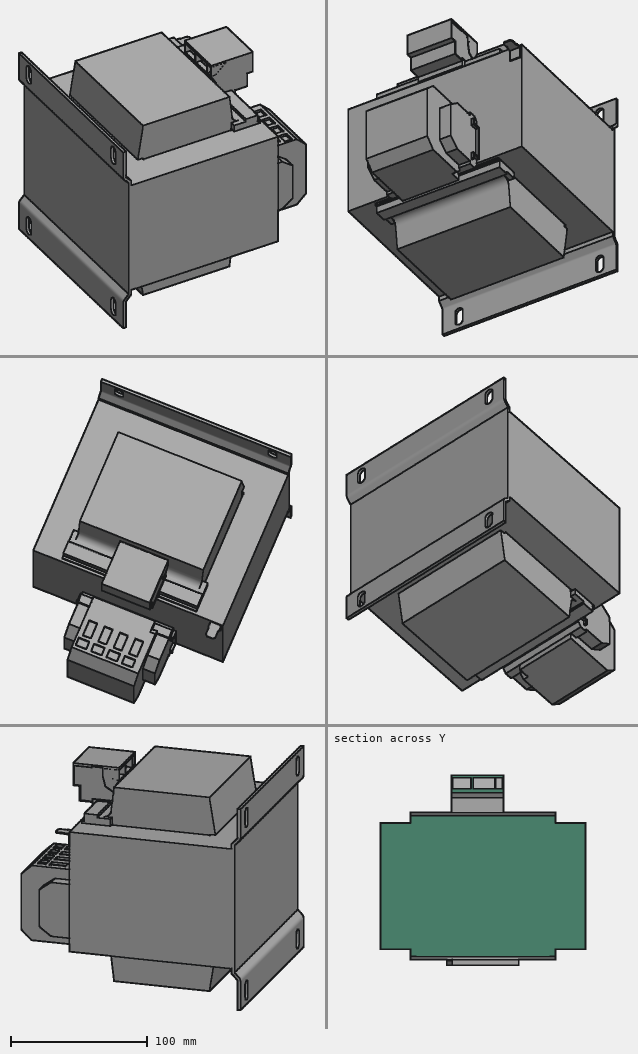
import cadquery as cq
import math


width = 150.0
depth = 184.0
height = 158.6

plate_height = 155.1
plate_thick = 2.4
plate_offset = 4.6
flange_height = 24.0
bend_radius = 4.5
slot_length = 14.7
slot_width = 6.6
slot_x = 60.7
slot_inset = 10.9
mid_z = plate_height / 2

core_front = plate_offset + plate_thick
core_back = 131.4
core_height = 92.4
core_top = mid_z + core_height / 2
window_width = 100.5
window_front = 31.8
window_back = 106.7

coil_width = 97.5
coil_height = 149.5
coil_half = coil_height / 2
coil_front_top = 32.2
coil_lip = 1.5
coil_front_base = 27.8
coil_back_top = 105.6
coil_back_slope_end = 107.8
coil_slope_drop = 18.4
coil_back_base = 113.0
shoulder_half = 51.5

rail_width = 106.0
rail_front = 107.0
rail_step = 117.0
rail_back = 127.1
rail_half = 53.7
ledge_back = 129.0
ledge_thick = 1.7

screw_left = -23.0
screw_split = -8.0
screw_right = 15.0
screw_front = 110.0
screw_back = 145.4
screw_base = 131.0
screw_heel_z = 129.9
screw_step_z = 141.3
screw_lower_back = 140.5
screw_lower_front = 114.0
chin_top = 148.7
chin_bottom = 142.0
clip_front = 127.1
clip_back = 130.5
clip_base = 125.7
screw_wall = 1.0
screw_roof = 2.0
entry_back = 122.7
entry_divider = 9.0

panel_recess = 0.4
panel_back_border = 0.7
panel_lower_back_border = 1.1
panel_bottom_border = 0.5
panel_front_border = 1.5
panel_top_step = 0.7
panel_top_step_y = 131.0
panel_corner_z = 139.1
panel_knee = (120.7, 143.2)
panel_curve_top = 151.2

strip_z = 48.5
strip_left = -26.5
end_plate_thick = 4.0
block_width = 12.1
block_count = 4
block_half = 28.9
block_left = strip_left + end_plate_thick
strip_right = block_left + block_count * block_width
bracket_width = 9.5
foot_half = 19.7
foot_top_y = 134.3
foot_top_half = 23.4
block_nose_y = 175.9
block_nose_half = 21.5
notch_floor_y = 139.7
notch_slope_half = 25.4
notch_top_y = 143.3
bracket_half = 20.8
bracket_step_y = 140.5
bracket_nose_y = 158.0
bracket_nose_half = 14.2
bracket_back = 167.0
entry_slot_width = 8.3
entry_slot_front = 167.0
entry_slot_back = 173.1
screw_slot_width = 6.3
screw_slot_front = 152.0
screw_slot_back = 164.3
opening_depth = 1.8
opening_inset = 1.8

hat_left = -38.0
hat_right = 37.5
hat_half = 17.8
hat_web_half = 14.2
hat_thick = 1.5
hat_depth = 8.0

tab_x = -69.4
tab_width = 8.5
tab_neck_width = 7.4
tab_end = 142.8
tab_z = 121.6
tab_thick = 1.0
tab_leg_height = 9.2
tab_shoulder = 4.5
tab_chamfer = 1.3


def box(x0, x1, y0, y1, z0, z1):
    """Box between two opposite corners."""
    return cq.Workplane("XY").box(x1 - x0, y1 - y0, z1 - z0, centered=False).translate((x0, y0, z0))


def extrude_along_x(points, x0, x1):
    """Closed (Y, Z) outline extruded from x0 to x1."""
    return cq.Workplane("YZ").workplane(offset=x0).polyline(points).close().extrude(x1 - x0)


def symmetric_profile(half_points, center_z, x0, x1):
    """Extrude a (Y, half height) outline mirrored about center_z."""
    upper = [(y, center_z + h) for y, h in half_points]
    lower = [(y, center_z - h) for y, h in reversed(half_points)]
    return extrude_along_x(upper + lower, x0, x1)


def make_plate():
    bend_half = mid_z - flange_height
    shift = plate_thick * math.tan(math.pi / 8)
    half = [
        (plate_offset, bend_half - plate_offset),
        (0, bend_half),
        (0, mid_z),
        (plate_thick, mid_z),
        (plate_thick, bend_half + shift),
        (core_front, bend_half - plate_offset + shift),
    ]
    plate = symmetric_profile(half, mid_z, -width / 2, width / 2)

    for y, edge_half, radius in (
        (0, bend_half, bend_radius),
        (plate_thick, bend_half + shift, bend_radius - plate_thick),
    ):
        for z in (mid_z - edge_half, mid_z + edge_half):
            bend = cq.selectors.NearestToPointSelector((0, y, z))
            plate = plate.edges("|X").edges(bend).fillet(radius)

    slots = (
        cq.Workplane("XZ")
        .pushPoints([(x, z) for x in (-slot_x, slot_x) for z in (slot_inset, plate_height - slot_inset)])
        .slot2D(slot_length, slot_width, 90)
        .extrude(-core_front)
    )
    return plate.cut(slots)


def make_core():
    core_bottom = core_top - core_height
    core = box(-width / 2, width / 2, core_front, core_back, core_bottom, core_top)
    window = box(-window_width / 2, window_width / 2, window_front, window_back, core_bottom, core_top)
    return core.cut(window)


def make_coil():
    top = mid_z + coil_half
    upper = (
        cq.Workplane("YZ")
        .workplane(offset=-coil_width / 2)
        .moveTo(coil_front_base, mid_z)
        .lineTo(coil_front_base, core_top)
        .lineTo(coil_front_top, top - coil_lip)
        .lineTo(coil_front_top, top)
        .lineTo(coil_back_top, top)
        .lineTo(coil_back_slope_end, top - coil_slope_drop)
        .tangentArcPoint((coil_back_base, mid_z + shoulder_half), relative=False)
        .lineTo(coil_back_base, mid_z)
        .close()
        .extrude(coil_width)
    )
    return upper.union(upper.mirror("XY", (0, 0, mid_z)))


def make_former_rails():
    core_half = core_height / 2
    half = [
        (rail_front, shoulder_half),
        (rail_step, shoulder_half),
        (rail_step, rail_half),
        (rail_back, rail_half),
        (rail_back, core_half + ledge_thick),
        (ledge_back, core_half + ledge_thick),
    ]
    return symmetric_profile(half, mid_z, -rail_width / 2, rail_width / 2)


def make_screw_terminal():
    body = extrude_along_x(
        [
            (screw_front, height),
            (screw_back, height),
            (screw_back, screw_step_z),
            (screw_lower_back, screw_step_z),
            (screw_lower_back, screw_heel_z),
            (clip_back, screw_heel_z),
            (clip_back, clip_base),
            (clip_front, clip_base),
            (clip_front, screw_base),
            (screw_lower_front, screw_base),
            (screw_lower_front, chin_bottom),
            (screw_front, chin_top),
        ],
        screw_left,
        screw_right,
    )

    panel_top_back = height - screw_roof
    panel_top_front = panel_top_back + panel_top_step
    panel_step_z = screw_step_z + panel_bottom_border
    panel_upper_back = screw_back - panel_back_border
    panel_lower_back = screw_lower_back - panel_lower_back_border
    panel_heel_z = screw_base - panel_bottom_border
    panel_base = screw_base + panel_front_border
    panel = extrude_along_x(
        [
            (entry_back, panel_top_front),
            (panel_top_step_y, panel_top_front),
            (panel_top_step_y, panel_top_back),
            (panel_upper_back, panel_top_back),
            (panel_upper_back, panel_step_z),
            (panel_lower_back, panel_step_z),
            (panel_lower_back, panel_heel_z),
            (clip_back, panel_heel_z),
            (clip_back, panel_base),
            (screw_lower_front, panel_base),
            (screw_lower_front, panel_corner_z),
            panel_knee,
            (entry_back, panel_curve_top),
        ],
        screw_left,
        screw_left + panel_recess,
    )
    body = body.cut(panel)

    entries = [
        (screw_left + screw_wall, screw_split - screw_wall),
        (screw_split + screw_wall, entry_divider - screw_wall / 2),
        (entry_divider + screw_wall / 2, screw_right - screw_wall),
    ]
    for x0, x1 in entries:
        entry = extrude_along_x(
            [
                (screw_front, height - screw_roof),
                (entry_back, height - screw_roof),
                (screw_lower_front, chin_top),
                (screw_front, chin_top),
            ],
            x0,
            x1,
        )
        body = body.cut(entry)
    return body


def make_hat_rail():
    web_back = core_back + hat_depth
    half = [
        (core_back, hat_web_half),
        (web_back - hat_thick, hat_web_half),
        (web_back - hat_thick, hat_half),
        (web_back, hat_half),
        (web_back, hat_web_half - hat_thick),
        (core_back + hat_thick, hat_web_half - hat_thick),
    ]
    return symmetric_profile(half, strip_z, hat_left, hat_right)


def make_terminal_strip():
    foot = [(core_back, foot_half), (foot_top_y, foot_top_half)]
    nose = [(block_nose_y, block_half), (depth, block_nose_half)]
    notch = [
        (notch_floor_y, foot_top_half),
        (notch_floor_y, notch_slope_half),
        (notch_top_y, block_half),
    ]
    block = foot + [(foot_top_y, block_half)] + nose
    end_plate = foot + notch + nose
    bracket = foot + [
        (bracket_step_y, foot_top_half),
        (bracket_step_y, bracket_half),
        (bracket_nose_y, bracket_half),
        (bracket_back, bracket_nose_half),
    ]

    strip = symmetric_profile(block, strip_z, block_left, strip_right)
    strip = strip.union(symmetric_profile(end_plate, strip_z, strip_left, block_left))
    for x0 in (strip_left - bracket_width, strip_right):
        strip = strip.union(symmetric_profile(bracket, strip_z, x0, x0 + bracket_width))

    top = strip_z + block_half
    floor = top - opening_depth
    for index in range(block_count):
        x0 = block_left + index * block_width + opening_inset
        strip = strip.cut(box(x0, x0 + entry_slot_width, entry_slot_front, entry_slot_back, floor, top))
        strip = strip.cut(box(x0, x0 + screw_slot_width, screw_slot_front, screw_slot_back, floor, top))
    return strip


def make_earth_tab():
    shoulder_y = core_back + tab_shoulder
    z0 = tab_z - tab_thick / 2
    left = tab_x - tab_width / 2
    right = tab_x + tab_width / 2
    half_neck = tab_neck_width / 2
    leg = box(left, right, core_back, core_back + tab_thick, tab_z - tab_leg_height, tab_z)
    base = box(left, right, core_back, shoulder_y, z0, z0 + tab_thick)
    neck = box(tab_x - half_neck, tab_x + half_neck, core_back, tab_end, z0, z0 + tab_thick)
    neck = neck.edges("|Z and >Y").chamfer(tab_chamfer)
    return leg.union(base).union(neck)


result = (
    make_core()
    .union(make_plate())
    .union(make_coil())
    .union(make_former_rails())
    .union(make_screw_terminal())
    .union(make_hat_rail())
    .union(make_terminal_strip())
    .union(make_earth_tab())
)